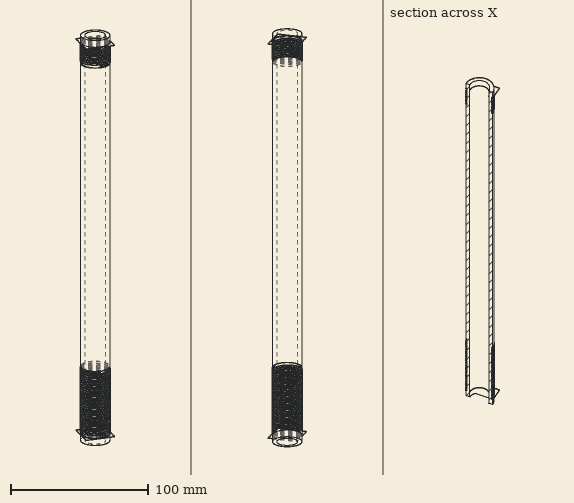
import cadquery as cq

length = 317.0
pipe_radius = 10.8
bore_radius = 7.5

crest_radius = 11.0
thread_depth = 1.1
pitch = 1.8
crest_width = 0.45
root_width = 0.45
root_overlap = 0.3
collar_length = 5.5
lower_turns = 29
upper_turns = 9

membrane_width = 2 * crest_radius
membrane_thickness = 0.3

root_radius = crest_radius - thread_depth
lower_thread_start = collar_length
lower_thread_end = lower_thread_start + lower_turns * pitch
upper_thread_end = length - collar_length
upper_thread_start = upper_thread_end - upper_turns * pitch


def cylinder(radius, bottom, height):
    """Solid cylinder on the Z axis."""
    return cq.Workplane("XY").workplane(offset=bottom).circle(radius).extrude(height)


def thread_ridge(bottom, turns):
    """Helical trapezoidal ridge, rooted inside the core, that fills the thread's length."""
    start = bottom + pitch / 2
    path = cq.Wire.makeHelix(pitch, (turns - 1) * pitch, root_radius).translate(cq.Vector(0, 0, start))
    half_crest = crest_width / 2
    flank_slope = (pitch - crest_width - root_width) / 2 / thread_depth
    half_base = half_crest + flank_slope * (thread_depth + root_overlap)
    inner_radius = root_radius - root_overlap
    profile = [
        (inner_radius, start - half_base),
        (crest_radius, start - half_crest),
        (crest_radius, start + half_crest),
        (inner_radius, start + half_base),
    ]
    return cq.Workplane("XZ").polyline(profile).close().sweep(path, isFrenet=True)


def threaded_band(bottom, turns):
    """Core rod with the thread ridge wound around it."""
    return cylinder(root_radius, bottom, turns * pitch).union(thread_ridge(bottom, turns))


def plain_rod(bottom, top):
    """Unthreaded stretch of the pipe, still without its bore."""
    return cylinder(pipe_radius, bottom, top - bottom)


def membrane(height):
    """Thin square plate across the pipe, centred at the given height."""
    plane = cq.Workplane("XY").workplane(offset=height)
    return plane.box(membrane_width, membrane_width, membrane_thickness)


pipe = (
    plain_rod(0, lower_thread_start)
    .union(threaded_band(lower_thread_start, lower_turns))
    .union(plain_rod(lower_thread_end, upper_thread_start))
    .union(threaded_band(upper_thread_start, upper_turns))
    .union(plain_rod(upper_thread_end, length))
    .cut(cylinder(bore_radius, 0, length))
)

result = pipe.union(membrane(lower_thread_start)).union(membrane(upper_thread_end))